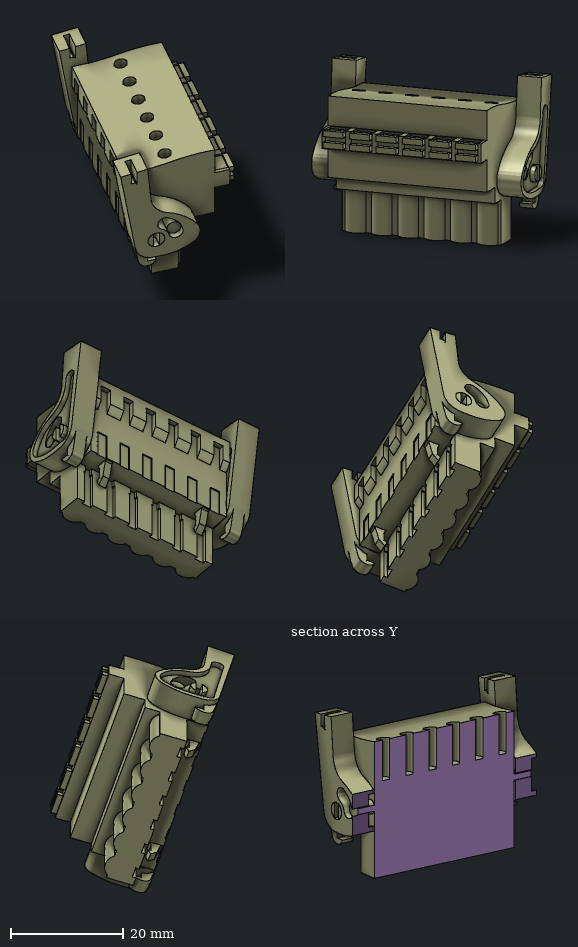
import cadquery as cq
import math

poles = 6
body_width = 30.45
pole_pitch = body_width / poles
pole_positions = [(i - (poles - 1) / 2) * pole_pitch for i in range(poles)]

front_y = 2.35
lower_front_y = 3.35
back_y = 19.15
front_top_z = 24.9
back_top_z = 26.2
top_land = 0.4
hole_band_front_y = 9.45
hole_band_back_y = 12.15
hole_band_front_z = 25.35
hole_band_back_z = 25.8

body_bottom_z = 8.3
step_y = 15.23
step_z = 11.3

tongue_front_y = 7.35
tongue_back_y = 12.38
rib_back_y = 13.42
rib_width = 4.0

hole_diameter = 2.35
hole_center_y = hole_band_front_y + hole_diameter / 2
hole_bottom_z = 18.1

upper_slot_width = 2.1
upper_slot_top_z = 23.35
panel_bottom_z = 20.17
panel_chamfer_end_z = 18.52

lower_slot_width = 2.0
lower_slot_top_z = 13.42
lower_slot_depth = 0.2

groove_depth = 0.7
groove_width = 1.85
groove_neck_width = 1.35
groove_neck_z = 7.0

latch_center_x = 10.85
latch_width = 1.5

ledge_back_y = 21.98
ledge_bottom_z = 17.2
ledge_top_z = 20.77
terminal_width = 3.85
terminal_front_y = 19.53
terminal_back_y = 23.02
terminal_bottom_z = 17.55
terminal_top_recess = 0.4
terminal_notch_height = 1.0
terminal_middle_z = (terminal_bottom_z + ledge_top_z) / 2

overall_width = 40.2
lever_width = 4.65
lever_left_x = -overall_width / 2
lever_right_x = overall_width / 2 - lever_width
cavity_depth = 1.0
foot_width = 2.5
grip_slot_wall = 1.1
grip_slot_front_y = 1.95
grip_slot_back_y = 3.05
grip_slot_floor_z = 26.92
grip_slot_floor_bevel = 0.35
lever_top_front = (0.0, 29.0)
lever_top_back = (5.02, 29.55)
lever_front_bend = (2.7, 11.45)

pivot_y = 6.65
pivot_z = 12.35
pivot_radius = 1.55
snap_slot_width = 1.15
snap_slot_depth = 2.4
guide_path_radius = 3.78
guide_radius = 1.33
guide_pin_recess = 0.2
guide_start_angle = 13.6
guide_end_angle = 65.4
side_reach = (overall_width - body_width) / 2


def box(x_range, y_range, z_range):
    size = [end - start for start, end in (x_range, y_range, z_range)]
    corner = (x_range[0], y_range[0], z_range[0])
    return cq.Workplane("XY").box(*size, centered=False).translate(corner)


def centered_box(center_x, width, y_range, z_range):
    return box((center_x - width / 2, center_x + width / 2), y_range, z_range)


def side_plane(x):
    """YZ sketch plane at x; extrusions run toward +X."""
    return cq.Workplane("YZ", origin=(x, 0, 0))


def path_point(radius, angle):
    """Point on a circle around the pivot, measured from +Y toward +Z."""
    turn = math.radians(angle)
    return (pivot_y + radius * math.cos(turn), pivot_z + radius * math.sin(turn))


def housing_block():
    return (
        side_plane(-body_width / 2)
        .moveTo(tongue_front_y, 0)
        .lineTo(tongue_front_y, body_bottom_z)
        .lineTo(lower_front_y, body_bottom_z)
        .lineTo(lower_front_y, panel_chamfer_end_z)
        .lineTo(front_y, panel_bottom_z)
        .lineTo(front_y, front_top_z)
        .lineTo(lower_front_y, front_top_z)
        .tangentArcPoint((hole_band_front_y, hole_band_front_z), relative=False)
        .lineTo(hole_band_back_y, hole_band_back_z)
        .tangentArcPoint((back_y - top_land, back_top_z), relative=False)
        .lineTo(back_y, back_top_z)
        .lineTo(back_y, ledge_top_z)
        .lineTo(ledge_back_y, ledge_top_z)
        .lineTo(ledge_back_y, ledge_bottom_z)
        .lineTo(back_y, ledge_bottom_z)
        .lineTo(back_y, step_z)
        .lineTo(step_y, step_z)
        .lineTo(step_y, body_bottom_z)
        .lineTo(tongue_back_y, body_bottom_z)
        .lineTo(tongue_back_y, 0)
        .close()
        .extrude(body_width)
    )


def tongue_rib(x):
    """Rounded vertical rib on the back of the tongue."""
    return (
        cq.Workplane("XY")
        .moveTo(x - rib_width / 2, tongue_back_y)
        .threePointArc((x, rib_back_y), (x + rib_width / 2, tongue_back_y))
        .close()
        .extrude(body_bottom_z)
    )


def latch(x):
    """Barbed hook hanging below the front of the housing."""
    outline = [
        (3.58, body_bottom_z), (3.9, 8.08), (4.62, 5.15), (5.8, 3.78), (6.25, 5.0),
        (5.65, 5.45), (5.65, 7.47), (6.03, body_bottom_z),
    ]
    return side_plane(x - latch_width / 2).polyline(outline).close().extrude(latch_width)


def pole_cuts(x):
    """Everything removed from the housing at one pole, except the terminal pocket."""
    wire_hole = (
        cq.Workplane("XY", origin=(x, hole_center_y, hole_bottom_z))
        .circle(hole_diameter / 2)
        .extrude(back_top_z - hole_bottom_z)
    )
    upper_slot = centered_box(
        x, upper_slot_width, (front_y, lower_front_y), (panel_chamfer_end_z, upper_slot_top_z))
    lower_slot = centered_box(
        x, lower_slot_width,
        (lower_front_y, lower_front_y + lower_slot_depth), (body_bottom_z, lower_slot_top_z))
    groove_y = (tongue_front_y, tongue_front_y + groove_depth)
    groove = centered_box(x, groove_width, groove_y, (0, groove_neck_z))
    groove_neck = centered_box(x, groove_neck_width, groove_y, (groove_neck_z, body_bottom_z))
    return [wire_hole, upper_slot, lower_slot, groove, groove_neck]


def left_pins():
    """Slotted pivot and shorter guide pin on the left side of the housing."""
    pivot = (
        side_plane(-body_width / 2).center(pivot_y, pivot_z)
        .circle(pivot_radius).extrude(-side_reach)
    )
    slot_radius = snap_slot_width / 2
    slot_bottom_x = lever_left_x + snap_slot_depth
    snap_slot = (
        cq.Workplane("XY", origin=(0, pivot_y, pivot_z - pivot_radius))
        .moveTo(lever_left_x, -slot_radius)
        .lineTo(slot_bottom_x - slot_radius, -slot_radius)
        .threePointArc((slot_bottom_x, 0), (slot_bottom_x - slot_radius, slot_radius))
        .lineTo(lever_left_x, slot_radius)
        .close()
        .extrude(2 * pivot_radius)
    )
    guide_pin_length = side_reach - cavity_depth - guide_pin_recess
    guide_pin = (
        side_plane(-body_width / 2).center(*path_point(guide_path_radius, guide_start_angle))
        .circle(guide_radius).extrude(-guide_pin_length)
    )
    return pivot.cut(snap_slot), guide_pin


def terminal_envelope(x):
    return centered_box(
        x, terminal_width,
        (terminal_front_y, terminal_back_y), (terminal_bottom_z, ledge_top_z))


def make_housing():
    body = housing_block()
    for x in pole_positions:
        body = body.union(tongue_rib(x))
        for cutter in pole_cuts(x):
            body = body.cut(cutter)
        body = body.cut(terminal_envelope(x))
    for x in (-latch_center_x, latch_center_x):
        body = body.union(latch(x))
    for pin in left_pins():
        body = body.union(pin).union(pin.mirror("YZ"))
    return body


def make_terminal(x):
    """Terminal set into the rear ledge, with a recessed top and a notched back."""
    top_recess = centered_box(
        x, terminal_width,
        (terminal_front_y, ledge_back_y), (ledge_top_z - terminal_top_recess, ledge_top_z))
    back_notch = centered_box(
        x, terminal_width, (ledge_back_y, terminal_back_y),
        (terminal_middle_z - terminal_notch_height / 2,
         terminal_middle_z + terminal_notch_height / 2))
    return terminal_envelope(x).cut(top_recess).cut(back_notch)


def lever_plate(x):
    """Straight grip above a rounded cam-shaped lower end."""
    return (
        side_plane(x)
        .moveTo(*lever_top_front)
        .lineTo(*lever_top_back)
        .lineTo(5.65, 22.2)
        .tangentArcPoint((8.7, 18.25), relative=False)
        .tangentArcPoint((14.25, 14.15), relative=False)
        .lineTo(14.63, 13.6)
        .threePointArc((14.83, 11.85), (13.75, 10.0))
        .threePointArc((11.35, 8.85), (8.28, body_bottom_z))
        .lineTo(6.25, body_bottom_z)
        .tangentArcPoint(lever_front_bend, relative=False)
        .close()
        .extrude(lever_width)
    )


def lever_foot(x):
    """Narrow hook below the lever, centered in its width."""
    return (
        side_plane(x + (lever_width - foot_width) / 2)
        .moveTo(5.4, 10.7)
        .lineTo(2.9, 10.7)
        .lineTo(3.7, 6.87)
        .threePointArc((5.45, 5.55), (7.0, 6.7))
        .lineTo(5.4, 6.7)
        .close()
        .extrude(foot_width)
    )


def lever_cavity(x):
    """Shallow recess that follows the lever outline on its -X face."""
    return (
        side_plane(x)
        .moveTo(2.05, 23.05)
        .threePointArc((3.2, 24.1), (4.35, 23.05))
        .lineTo(4.5, 21.85)
        .tangentArcPoint((8.7, 17.28), relative=False)
        .tangentArcPoint((13.75, 13.25), relative=False)
        .threePointArc((14.0, 12.17), (13.2, 10.75))
        .threePointArc((11.1, 9.8), (8.28, 9.4))
        .lineTo(5.05, 9.5)
        .threePointArc((4.2, 9.9), (3.8, 10.95))
        .close()
        .extrude(cavity_depth)
    )


def guide_slot(x):
    """Round-ended slot that follows an arc around the pivot."""
    inner = guide_path_radius - guide_radius
    outer = guide_path_radius + guide_radius
    middle_angle = (guide_start_angle + guide_end_angle) / 2
    band = (
        side_plane(x)
        .moveTo(*path_point(inner, guide_start_angle))
        .threePointArc(path_point(inner, middle_angle), path_point(inner, guide_end_angle))
        .lineTo(*path_point(outer, guide_end_angle))
        .threePointArc(path_point(outer, middle_angle), path_point(outer, guide_start_angle))
        .close()
        .extrude(lever_width)
    )
    for angle in (guide_start_angle, guide_end_angle):
        end = side_plane(x).center(*path_point(guide_path_radius, angle))
        band = band.union(end.circle(guide_radius).extrude(lever_width))
    return band


def grip_slot(x):
    """Upright slot in the top of the grip, open toward +X, with a ridged floor."""
    ridge_y = grip_slot_back_y - grip_slot_floor_bevel
    outline = [
        (grip_slot_front_y, lever_top_back[1]),
        (grip_slot_front_y, grip_slot_floor_z),
        (ridge_y, grip_slot_floor_z),
        (grip_slot_back_y, grip_slot_floor_z - grip_slot_floor_bevel),
        (grip_slot_back_y, lever_top_back[1]),
    ]
    return (
        side_plane(x + grip_slot_wall)
        .polyline(outline)
        .close()
        .extrude(lever_width - grip_slot_wall)
    )


def make_lever(x):
    pivot_hole = side_plane(x).center(pivot_y, pivot_z).circle(pivot_radius).extrude(lever_width)
    return (
        lever_plate(x)
        .union(lever_foot(x))
        .cut(lever_cavity(x))
        .cut(guide_slot(x))
        .cut(pivot_hole)
        .cut(grip_slot(x))
    )


housing = make_housing()
terminals = [make_terminal(x) for x in pole_positions]
levers = [make_lever(x) for x in (lever_left_x, lever_right_x)]

result = cq.Compound.makeCompound(
    [housing.val()] + [terminal.val() for terminal in terminals] + [lever.val() for lever in levers]
)